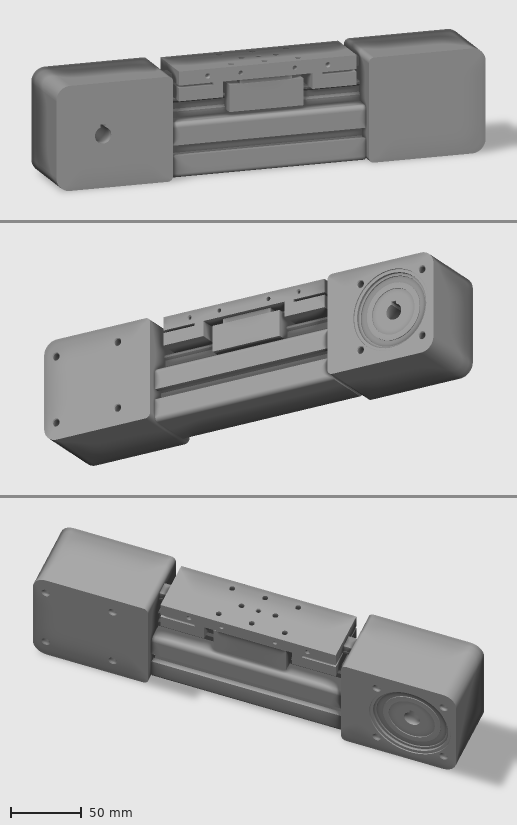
import cadquery as cq
import math

TOTAL_LENGTH = 321.0
TOTAL_HEIGHT = 78.0

HOUSING_WIDTH = 54.0
HOUSING_LENGTH = 87.3
HOUSING_HEIGHT = 77.0
OUTER_CORNER_RADIUS = 10.3
INNER_CORNER_RADIUS = 4.0
AXIS_FROM_END = 35.0
SCREW_PITCH = 50.7
SCREW_DIAMETER = 5.0
SCREW_CHAMFER_DIAMETER = 6.5
SCREW_DEPTH = 9.5
DRILL_TIP_ANGLE = 118.0
HOUSING_INNER_Y = TOTAL_LENGTH / 2 - HOUSING_LENGTH
AXIS_Y = TOTAL_LENGTH / 2 - AXIS_FROM_END
AXIS_Z = HOUSING_HEIGHT / 2

HUB_STEPS = [(62.0, 1.0), (57.0, 3.0), (53.3, 4.0), (43.5, 3.2), (35.0, 4.0)]
SHAFT_BORE_DIAMETER = 12.2
KEYWAY_WIDTH = 4.0
KEYWAY_TOP = 8.0

BEAM_LENGTH = 2 * HOUSING_INNER_Y
BEAM_WIDTH = 40.0
BEAM_HEIGHT = 40.5
BEAM_TOP_RADIUS = 3.5
BEAM_BOTTOM_RADIUS = 3.2
SLOT_CENTRE_Z = 20.2
SLOT_OPENING = 7.7
SLOT_CAVITY_WIDTH = 14.8
SLOT_LIP = 4.0
SLOT_DEPTH = 8.5
RAIL_WIDTH = 14.8
RAIL_WAIST_WIDTH = 11.5
RAIL_SEAT_WIDTH = 13.8
RAIL_SEAT_HEIGHT = 3.2
RAIL_HEIGHT = 14.8
RAIL_WAIST_FROM_SEAT = 3.2
RAIL_WAIST_FROM_TOP = 4.0
RAIL_TOP_CHAMFER = 1.0

BLOCK_LENGTH = 55.2
BLOCK_WIDTH = 34.0
BLOCK_BOTTOM_Z = 44.0
BLOCK_SHOULDER_Z = 64.0
PAD_LENGTH = 39.0
PAD_WIDTH = 32.0

CARRIAGE_LENGTH = 133.0
CARRIAGE_WIDTH = 40.0
CARRIAGE_BOTTOM_Z = 56.2
WINDOW_LENGTH = 66.8
CEILING_Z = 67.7
SIDE_SLOT_LENGTH = 25.7
TOP_HOLE_DIAMETER = 4.2
TOP_HOLE_DEPTH = 6.5
TOP_HOLE_PITCH_X = 26.0
TOP_HOLE_PITCH_Y = 25.0
CENTRE_LINE_PITCH = 13.0
CENTRE_HOLE_DIAMETER = 3.2
CENTRE_CHAMFER_DIAMETER = 4.2
SIDE_HOLE_Z = 73.0
SIDE_HOLE_DEPTH = 6.5
OUTER_SIDE_HOLE_Y = 45.0
OUTER_SIDE_HOLE_DIAMETER = 2.0
OUTER_SIDE_CHAMFER_DIAMETER = 4.0
INNER_SIDE_HOLE_Y = 20.2
INNER_SIDE_HOLE_DIAMETER = 3.2

BELT_WIDTH = 11.2
BELT_THICKNESS = 2.0
CLAMP_WIDTH = 10.3
CLAMP_TOP_Z = 72.5


def box(width, length, bottom, top, x=0.0, y=0.0):
    """Box centred on (x, y), standing between two heights."""
    return cq.Workplane("XY").box(width, length, top - bottom).translate((x, y, (bottom + top) / 2))


def drill(start, direction, diameter, depth, mouth_diameter=0.0, tip=False):
    """Round cutter, optionally with a 45 degree mouth chamfer and a conical tip."""
    radius = diameter / 2
    start = cq.Vector(*start)
    direction = cq.Vector(*direction)
    cutter = cq.Workplane(cq.Solid.makeCylinder(radius, depth, start, direction))
    if mouth_diameter:
        mouth_radius = mouth_diameter / 2
        mouth = cq.Solid.makeCone(mouth_radius, radius, mouth_radius - radius, start, direction)
        cutter = cutter.union(cq.Workplane(mouth))
    if tip:
        tip_height = radius / math.tan(math.radians(DRILL_TIP_ANGLE / 2))
        point = cq.Solid.makeCone(radius, 0, tip_height, start + direction * depth, direction)
        cutter = cutter.union(cq.Workplane(point))
    return cutter


def make_housing(side):
    """End housing with four blind screw holes; side is +1 for the +Y end and -1 for the -Y end."""
    centre_y = side * (TOTAL_LENGTH - HOUSING_LENGTH) / 2
    housing = box(HOUSING_WIDTH, HOUSING_LENGTH, 0, HOUSING_HEIGHT, y=centre_y)
    outer, inner = (">Y", "<Y") if side > 0 else ("<Y", ">Y")
    housing = housing.faces(outer).edges("|X").fillet(OUTER_CORNER_RADIUS)
    housing = housing.faces(inner).edges("|X").fillet(INNER_CORNER_RADIUS)
    for dy in (-SCREW_PITCH / 2, SCREW_PITCH / 2):
        for dz in (-SCREW_PITCH / 2, SCREW_PITCH / 2):
            start = (-HOUSING_WIDTH / 2, side * AXIS_Y + dy, AXIS_Z + dz)
            screw_hole = drill(start, (1, 0, 0), SCREW_DIAMETER, SCREW_DEPTH, SCREW_CHAMFER_DIAMETER, tip=True)
            housing = housing.cut(screw_hole)
    return housing


def cut_drive_hub(housing):
    """Stepped hub face on the -X side and a keyed shaft bore through the -Y housing."""
    axis_point = (-HOUSING_WIDTH / 2, -AXIS_Y, AXIS_Z)
    inner_diameters = [diameter for diameter, _ in HUB_STEPS[1:]] + [0.0]
    for (diameter, depth), inner_diameter in zip(HUB_STEPS, inner_diameters):
        ring = drill(axis_point, (1, 0, 0), diameter, depth)
        if inner_diameter:
            ring = ring.cut(drill(axis_point, (1, 0, 0), inner_diameter, depth))
        housing = housing.cut(ring)
    housing = housing.cut(drill(axis_point, (1, 0, 0), SHAFT_BORE_DIAMETER, HOUSING_WIDTH))
    keyway = box(HOUSING_WIDTH, KEYWAY_WIDTH, AXIS_Z, AXIS_Z + KEYWAY_TOP, y=-AXIS_Y)
    return housing.cut(keyway)


def extrude_along_beam(half_outline):
    """Extrude an X-Z outline, given by its +X half from bottom to top and mirrored in X = 0."""
    outline = half_outline + [(-x, z) for x, z in reversed(half_outline)]
    return cq.Workplane("XZ").polyline(outline).close().extrude(BEAM_LENGTH / 2, both=True)


def make_slot_cutter(side):
    """T-slot with a tapered cavity along one long side of the beam."""
    face = side * BEAM_WIDTH / 2
    lip = face - side * SLOT_LIP
    back = face - side * SLOT_DEPTH
    opening = SLOT_OPENING / 2
    cavity = SLOT_CAVITY_WIDTH / 2
    lower = [(face, -opening), (lip, -opening), (lip, -cavity), (back, -opening)]
    outline = lower + [(x, -z) for x, z in reversed(lower)]
    slot = cq.Workplane("XZ").polyline(outline).close().extrude(BEAM_LENGTH / 2, both=True)
    return slot.translate((0, 0, SLOT_CENTRE_Z))


def make_beam():
    """Slotted beam carrying a guide rail with a waisted section."""
    beam = box(BEAM_WIDTH, BEAM_LENGTH, 0, BEAM_HEIGHT)
    beam = beam.faces(">Z").edges("|Y").fillet(BEAM_TOP_RADIUS)
    beam = beam.faces("<Z").edges("|Y").fillet(BEAM_BOTTOM_RADIUS)
    for side in (-1, 1):
        beam = beam.cut(make_slot_cutter(side))
    seat_top = BEAM_HEIGHT + RAIL_SEAT_HEIGHT
    rail_top = BEAM_HEIGHT + RAIL_HEIGHT
    flare = (RAIL_WIDTH - RAIL_WAIST_WIDTH) / 2
    waist_bottom = seat_top + RAIL_WAIST_FROM_SEAT
    waist_top = rail_top - RAIL_WAIST_FROM_TOP
    rail = extrude_along_beam([
        (RAIL_SEAT_WIDTH / 2, BEAM_HEIGHT),
        (RAIL_SEAT_WIDTH / 2, seat_top),
        (RAIL_WIDTH / 2, seat_top),
        (RAIL_WIDTH / 2, waist_bottom - flare),
        (RAIL_WAIST_WIDTH / 2, waist_bottom),
        (RAIL_WAIST_WIDTH / 2, waist_top),
        (RAIL_WIDTH / 2, waist_top + flare),
        (RAIL_WIDTH / 2, rail_top - RAIL_TOP_CHAMFER),
        (RAIL_WIDTH / 2 - RAIL_TOP_CHAMFER, rail_top),
    ])
    return beam.union(rail)


def make_block(beam):
    """Guide block straddling the rail, with a raised pad under the carriage."""
    block = box(BLOCK_WIDTH, BLOCK_LENGTH, BLOCK_BOTTOM_Z, BLOCK_SHOULDER_Z)
    block = block.union(box(PAD_WIDTH, PAD_LENGTH, BLOCK_SHOULDER_Z, CEILING_Z))
    return block.cut(beam)


def cut_top_holes(carriage):
    """Two rows of three holes, two on the centre line and a chamfered one in the middle."""
    places = [(0, -CENTRE_LINE_PITCH), (0, CENTRE_LINE_PITCH)]
    for x in (-TOP_HOLE_PITCH_X / 2, TOP_HOLE_PITCH_X / 2):
        for y in (-TOP_HOLE_PITCH_Y, 0, TOP_HOLE_PITCH_Y):
            places.append((x, y))
    down = (0, 0, -1)
    for x, y in places:
        carriage = carriage.cut(drill((x, y, TOTAL_HEIGHT), down, TOP_HOLE_DIAMETER, TOP_HOLE_DEPTH))
    centre = (0, 0, TOTAL_HEIGHT)
    return carriage.cut(drill(centre, down, CENTRE_HOLE_DIAMETER, TOP_HOLE_DEPTH, CENTRE_CHAMFER_DIAMETER))


def cut_side_holes(carriage):
    """Two plain and two chamfered blind holes in each long side of the carriage."""
    for side in (-1, 1):
        face = side * CARRIAGE_WIDTH / 2
        inward = (-side, 0, 0)
        for end in (-1, 1):
            plain = (face, end * INNER_SIDE_HOLE_Y, SIDE_HOLE_Z)
            carriage = carriage.cut(drill(plain, inward, INNER_SIDE_HOLE_DIAMETER, SIDE_HOLE_DEPTH))
            chamfered = (face, end * OUTER_SIDE_HOLE_Y, SIDE_HOLE_Z)
            carriage = carriage.cut(drill(chamfered, inward, OUTER_SIDE_HOLE_DIAMETER, SIDE_HOLE_DEPTH,
                                          OUTER_SIDE_CHAMFER_DIAMETER))
    return carriage


def make_carriage():
    """Carriage plate with two legs, side slots, mounting holes and a belt end at each side."""
    carriage = box(CARRIAGE_WIDTH, CARRIAGE_LENGTH, CARRIAGE_BOTTOM_Z, TOTAL_HEIGHT)
    carriage = carriage.cut(box(CARRIAGE_WIDTH, WINDOW_LENGTH, CARRIAGE_BOTTOM_Z, CEILING_Z))
    slot_bottom = CEILING_Z - BELT_THICKNESS
    for side in (-1, 1):
        slot_y = side * (CARRIAGE_LENGTH - SIDE_SLOT_LENGTH) / 2
        carriage = carriage.cut(box(CARRIAGE_WIDTH, SIDE_SLOT_LENGTH, slot_bottom, CEILING_Z, y=slot_y))
    for side in (-1, 1):
        belt_length = HOUSING_INNER_Y - PAD_LENGTH / 2
        belt_y = side * (HOUSING_INNER_Y + PAD_LENGTH / 2) / 2
        carriage = carriage.union(box(BELT_WIDTH, belt_length, slot_bottom, CEILING_Z, y=belt_y))
        clamp_length = HOUSING_INNER_Y - CARRIAGE_LENGTH / 2
        clamp_y = side * (HOUSING_INNER_Y + CARRIAGE_LENGTH / 2) / 2
        carriage = carriage.union(box(CLAMP_WIDTH, clamp_length, CEILING_Z, CLAMP_TOP_Z, y=clamp_y))
    return cut_side_holes(cut_top_holes(carriage))


drive_housing = cut_drive_hub(make_housing(-1))
idler_housing = make_housing(1)
beam = make_beam()
block = make_block(beam)
carriage = make_carriage()

result = cq.Compound.makeCompound([
    drive_housing.solids().val(),
    idler_housing.solids().val(),
    beam.solids().val(),
    block.solids().val(),
    carriage.solids().val(),
])